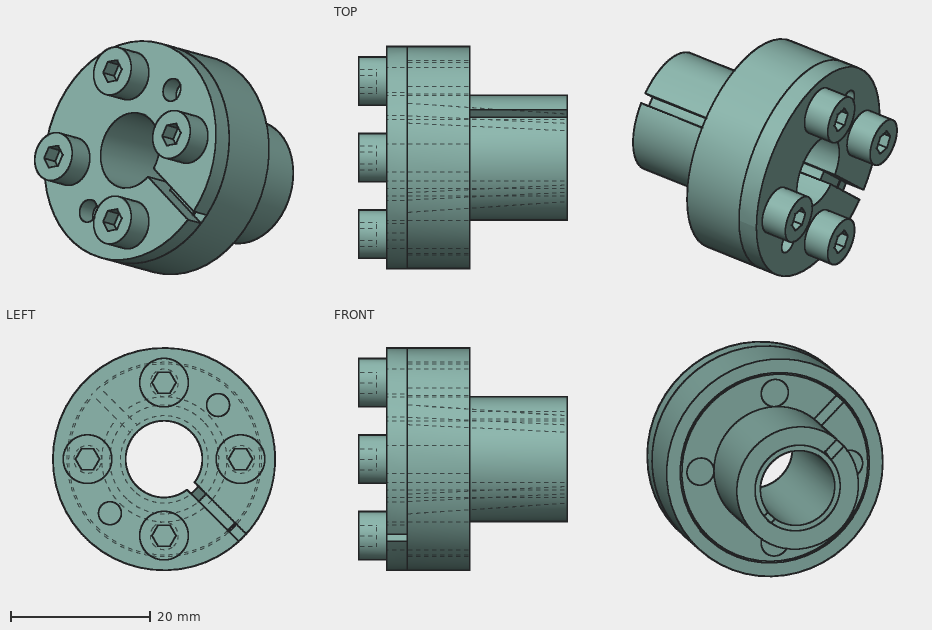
import cadquery as cq
import math


head_height = 4.0
flange_thickness = 3.0
ring_width = 9.0
overall_length = 30.0
flange_front = head_height
flange_back = flange_front + flange_thickness
ring_back = flange_back + ring_width

outer_diameter = 32.0
bore_diameter = 11.0
sleeve_diameter = 18.0
cone_front_radius = 7.85
cone_back_radius = 6.3
slot_width = 1.5

ring_bore_diameter = 28.0
ring_gap = 0.25
collar_diameter = ring_bore_diameter - 2 * ring_gap

bolt_circle_radius = 11.0
screw_count = 4
screw_diameter = 4.0
screw_head_diameter = 7.0
socket_across_flats = 3.0
socket_depth = 2.5
jacking_hole_diameter = 3.3

hub_slot_angle = 225
sleeve_slot_angle = 45
jacking_hole_angles = (135, 315)
screw_angles = [i * 360 / screw_count for i in range(screw_count)]


def polar_point(angle):
    """Y and Z of a point on the bolt circle."""
    turn = math.radians(angle)
    return (bolt_circle_radius * math.cos(turn), bolt_circle_radius * math.sin(turn))


def cylinder(x_start, x_end, diameter, center=(0, 0)):
    """Cylinder along X between two positions."""
    plane = cq.Workplane("YZ", origin=(x_start, 0, 0))
    return plane.center(*center).circle(diameter / 2).extrude(x_end - x_start)


def radial_slot(angle):
    """Full-length slot from the axis out through the rim."""
    slot = cq.Workplane("XY").box(
        overall_length, outer_diameter, slot_width, centered=(False, False, True)
    )
    return slot.rotate((0, 0, 0), (1, 0, 0), angle)


def cone():
    """Mating taper of hub and sleeve, narrowing towards +X."""
    profile = [
        (flange_back, 0),
        (flange_back, cone_front_radius),
        (overall_length, cone_back_radius),
        (overall_length, 0),
    ]
    return cq.Workplane("XY").polyline(profile).close().revolve(360, (0, 0, 0), (1, 0, 0))


def make_hub():
    """Front flange and tapered tube, split along one side."""
    hub = cylinder(flange_front, flange_back, outer_diameter).union(cone())
    hub = hub.cut(cylinder(flange_front, overall_length, bore_diameter))
    for angle in screw_angles:
        hub = hub.cut(cylinder(flange_front, flange_back, screw_diameter, polar_point(angle)))
    for angle in jacking_hole_angles:
        hub = hub.cut(cylinder(flange_front, flange_back, jacking_hole_diameter, polar_point(angle)))
    return hub.cut(radial_slot(hub_slot_angle))


def make_sleeve():
    """Collar that takes the screws and a cylinder with a tapered bore, split along one side."""
    sleeve = cylinder(flange_back, ring_back, collar_diameter)
    sleeve = sleeve.union(cylinder(flange_back, overall_length, sleeve_diameter))
    sleeve = sleeve.cut(cone())
    for angle in screw_angles:
        sleeve = sleeve.cut(cylinder(flange_back, ring_back, screw_diameter, polar_point(angle)))
    return sleeve.cut(radial_slot(sleeve_slot_angle))


def make_spacer_ring():
    ring = cylinder(flange_back, ring_back, outer_diameter)
    return ring.cut(cylinder(flange_back, ring_back, ring_bore_diameter))


def make_screw(angle):
    """Socket head cap screw with its shank ending flush with the collar."""
    center = polar_point(angle)
    screw = cylinder(0, flange_front, screw_head_diameter, center)
    screw = screw.union(cylinder(flange_front, ring_back, screw_diameter, center))
    socket_across_corners = socket_across_flats / math.cos(math.pi / 6)
    socket = cq.Workplane("YZ").center(*center).polygon(6, socket_across_corners).extrude(socket_depth)
    return screw.cut(socket)


hub = make_hub()
sleeve = make_sleeve()
spacer_ring = make_spacer_ring()
screws = [make_screw(angle) for angle in screw_angles]

result = cq.Compound.makeCompound(
    [hub.val(), sleeve.val(), spacer_ring.val(), *[screw.val() for screw in screws]]
)